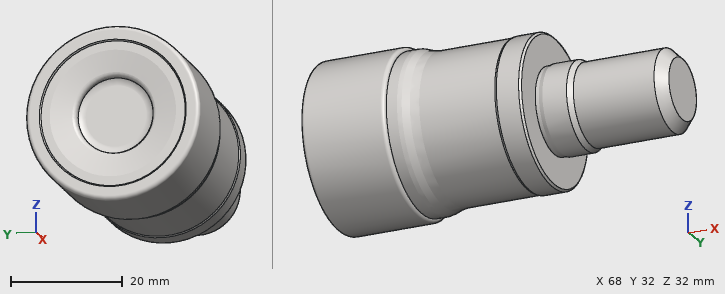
import cadquery as cq
import math

TOTAL_LENGTH = 67.98

CAP_LENGTH = 16.6
CAP_RADIUS = 32 / 2
CAP_FRONT_FILLET = 0.8
FACE_STEP_OUTER_RADIUS = 13.5
FACE_STEP_INNER_RADIUS = 13.25
FACE_STEP_DEPTH = 0.3
DISH_RADIUS = 11.6
DISH_DEPTH = 0.85
BORE_MOUTH_RADIUS = 7.05
BORE_RADIUS = 6.9
BORE_LIP_FILLET = 0.85

SPIGOT_START = 2.35
SPIGOT_HOLLOW_RADIUS = 5.6
SPIGOT_HOLLOW_DEPTH = 0.5

NECK_RADIUS = 30.5 / 2
NECK_CORNER_FILLET = 2.5
WAIST_START = 19.2
WAIST_SLOPE = math.radians(20)
WAIST_FILLET = 5
BARREL_RADIUS = 28.6 / 2
BARREL_END = 37.55
COLLAR_RADIUS = 29 / 2
COLLAR_START = 37.95
COLLAR_END = 42.75
COLLAR_CHAMFER = 0.4

UNDERCUT_RADIUS = 8.3
UNDERCUT_END = 43.5
SHOULDER_RADIUS = 17 / 2
SHOULDER_START = 44.3
SHOULDER_END = 49.0
SHANK_RADIUS = 15.75 / 2
SHANK_START = 50.05
SHANK_CHAMFER = 2

CAP_REAR_FILLET = CAP_RADIUS - NECK_RADIUS
SELECTION_MARGIN = 0.01


def turned(profile):
    """Revolve a closed profile, drawn as X and radius, about the X axis."""
    return profile.close().revolve(360, (0, 0, 0), (1, 0, 0))


def circle_at(x, radius):
    """Select the circular edges within the given radius in the plane at x."""
    reach = radius + SELECTION_MARGIN
    return cq.selectors.BoxSelector(
        (x - SELECTION_MARGIN, -reach, -reach),
        (x + SELECTION_MARGIN, reach, reach),
        boundingbox=True,
    )


def make_cap():
    dish_bottom = FACE_STEP_DEPTH + DISH_DEPTH
    cap = turned(
        cq.Workplane("XY")
        .moveTo(0, FACE_STEP_OUTER_RADIUS)
        .lineTo(0, CAP_RADIUS)
        .lineTo(CAP_LENGTH, CAP_RADIUS)
        .lineTo(CAP_LENGTH, BORE_RADIUS)
        .lineTo(SPIGOT_START, BORE_RADIUS)
        .lineTo(dish_bottom, BORE_MOUTH_RADIUS)
        .lineTo(FACE_STEP_DEPTH, DISH_RADIUS)
        .lineTo(FACE_STEP_DEPTH, FACE_STEP_INNER_RADIUS)
    )
    cap = cap.edges(circle_at(dish_bottom, BORE_MOUTH_RADIUS)).fillet(BORE_LIP_FILLET)
    outer_rims = cq.selectors.RadiusNthSelector(-1)
    cap = cap.faces("<X").edges(outer_rims).fillet(CAP_FRONT_FILLET)
    return cap.faces(">X").edges(outer_rims).fillet(CAP_REAR_FILLET)


def make_body():
    hollow_floor = SPIGOT_START + SPIGOT_HOLLOW_DEPTH
    waist_end = WAIST_START + (NECK_RADIUS - BARREL_RADIUS) / math.tan(WAIST_SLOPE)
    body = turned(
        cq.Workplane("XY")
        .moveTo(hollow_floor, 0)
        .lineTo(hollow_floor, SPIGOT_HOLLOW_RADIUS)
        .tangentArcPoint((SPIGOT_START, BORE_RADIUS), relative=False)
        .lineTo(CAP_LENGTH, BORE_RADIUS)
        .lineTo(CAP_LENGTH, NECK_RADIUS)
        .lineTo(WAIST_START, NECK_RADIUS)
        .lineTo(waist_end, BARREL_RADIUS)
        .lineTo(BARREL_END, BARREL_RADIUS)
        .lineTo(COLLAR_START, COLLAR_RADIUS)
        .lineTo(COLLAR_END - COLLAR_CHAMFER, COLLAR_RADIUS)
        .lineTo(COLLAR_END, COLLAR_RADIUS - COLLAR_CHAMFER)
        .lineTo(COLLAR_END, UNDERCUT_RADIUS)
        .lineTo(UNDERCUT_END, UNDERCUT_RADIUS)
        .lineTo(SHOULDER_START, SHOULDER_RADIUS)
        .lineTo(SHOULDER_END, SHOULDER_RADIUS)
        .lineTo(SHANK_START, SHANK_RADIUS)
        .lineTo(TOTAL_LENGTH - SHANK_CHAMFER, SHANK_RADIUS)
        .lineTo(TOTAL_LENGTH, SHANK_RADIUS - SHANK_CHAMFER)
        .lineTo(TOTAL_LENGTH, 0)
    )
    body = body.edges(circle_at(WAIST_START, NECK_RADIUS)).fillet(NECK_CORNER_FILLET)
    return body.edges(circle_at(waist_end, BARREL_RADIUS)).fillet(WAIST_FILLET)


cap = make_cap()
body = make_body()
result = cq.Compound.makeCompound([cap.val(), body.val()])